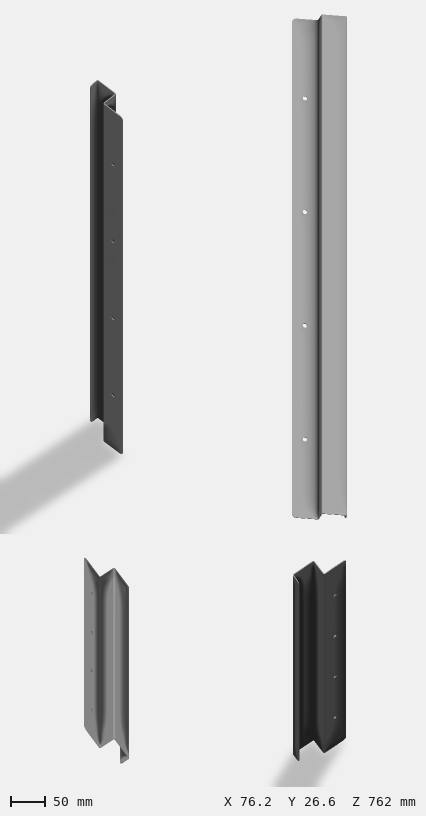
import cadquery as cq

thickness = 1.22
inner_radius = 1.22
outer_radius = inner_radius + thickness

width = 76.2
step_height = 25.4
depth = step_height + thickness
length = 762.0

lip_depth = 15.875
rear_flange_width = 38.1

corner_radius = 6.35

hole_diameter = 6.35
hole_count = 4
hole_end_distance = 120.65
hole_edge_distance = 19.05
hole_pitch = (length - 2 * hole_end_distance) / (hole_count - 1)

left = -width / 2
right = width / 2
front = -depth / 2
rear = depth / 2
web_right = left + rear_flange_width
web_left = web_right - thickness
bottom = -length / 2
top = length / 2


def box_between(x_min, x_max, y_min, y_max):
    """Full-length upright plate between the given X and Y faces."""
    return (
        cq.Workplane("XY", origin=(0, 0, bottom))
        .moveTo((x_min + x_max) / 2, (y_min + y_max) / 2)
        .rect(x_max - x_min, y_max - y_min)
        .extrude(length)
    )


def bend_edge(body, x, y, radius):
    """Round the full-length edge that passes through (x, y)."""
    edge = cq.selectors.NearestToPointSelector((x, y, 0))
    return body.edges("|Z").edges(edge).fillet(radius)


def folded_sheet():
    """Lip, rear flange, web and front flange joined by three rounded bends."""
    body = (
        box_between(left, left + thickness, rear - lip_depth, rear)
        .union(box_between(left, web_right, rear - thickness, rear))
        .union(box_between(web_left, web_right, front, rear))
        .union(box_between(web_left, right, front, front + thickness))
        .clean()
    )
    bends = [
        ((left, rear), (left + thickness, rear - thickness)),
        ((web_right, rear), (web_left, rear - thickness)),
        ((web_left, front), (web_right, front + thickness)),
    ]
    for outer, inner in bends:
        body = bend_edge(body, *outer, outer_radius)
        body = bend_edge(body, *inner, inner_radius)
    return body


def round_free_corners(body):
    """Round the corners at both ends of the front flange and of the lip."""
    flange_y = front + thickness / 2
    lip_x = left + thickness / 2
    lip_y = rear - lip_depth
    for z in (bottom, top):
        flange_corner = cq.selectors.NearestToPointSelector((right, flange_y, z))
        body = body.edges("|Y").edges(flange_corner).fillet(corner_radius)
        lip_corner = cq.selectors.NearestToPointSelector((lip_x, lip_y, z))
        body = body.edges("|X").edges(lip_corner).fillet(corner_radius)
    return body


def mounting_holes():
    """Pins that cut a row of evenly spaced holes through the front flange."""
    return (
        cq.Workplane("XZ", origin=(right - hole_edge_distance, front + thickness, 0))
        .rarray(1, hole_pitch, 1, hole_count)
        .circle(hole_diameter / 2)
        .extrude(thickness)
    )


result = round_free_corners(folded_sheet()).cut(mounting_holes())